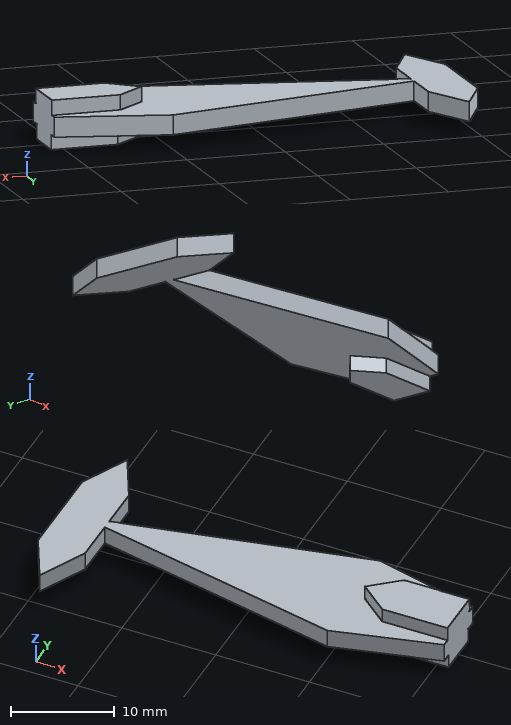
import cadquery as cq

length = 42.5
crossbar_span = 19.98
height = 5.0

plate_thickness = 2.0
pad_thickness = (height - plate_thickness) / 2

crossbar_width = 5.0
crossbar_straight = 10.0

neck_width = 1.0
shoulder_x = 31.32
shoulder_width = 12.05
end_width = 6.55

upper_pad_length = 10.0
upper_pad_width = 5.0
upper_tip_length = 3.0
lower_pad_length = 9.5
lower_pad_width = 4.5
lower_tip_length = 2.7


def prism(points, bottom, thickness):
    """Closed outline in XY, extruded upward from the given height."""
    return cq.Workplane("XY").workplane(offset=bottom).polyline(points).close().extrude(thickness)


def crossbar():
    tip_y = crossbar_span / 2
    corner_y = crossbar_straight / 2
    outline = [
        (0, -corner_y),
        (crossbar_width / 2, -tip_y),
        (crossbar_width, -corner_y),
        (crossbar_width, corner_y),
        (crossbar_width / 2, tip_y),
        (0, corner_y),
    ]
    return prism(outline, 0, plate_thickness)


def body():
    outline = [
        (crossbar_width, -neck_width / 2),
        (shoulder_x, -shoulder_width / 2),
        (length, -end_width / 2),
        (length, end_width / 2),
        (shoulder_x, shoulder_width / 2),
        (crossbar_width, neck_width / 2),
    ]
    return prism(outline, 0, plate_thickness)


def pad(pad_length, width, tip_length, bottom):
    """Flush with the blunt end, pointing toward the crossbar."""
    tip_x = length - pad_length
    outline = [
        (tip_x, 0),
        (tip_x + tip_length, -width / 2),
        (length, -width / 2),
        (length, width / 2),
        (tip_x + tip_length, width / 2),
    ]
    return prism(outline, bottom, pad_thickness)


upper_pad = pad(upper_pad_length, upper_pad_width, upper_tip_length, plate_thickness)
lower_pad = pad(lower_pad_length, lower_pad_width, lower_tip_length, -pad_thickness)

result = crossbar().union(body()).union(upper_pad).union(lower_pad)